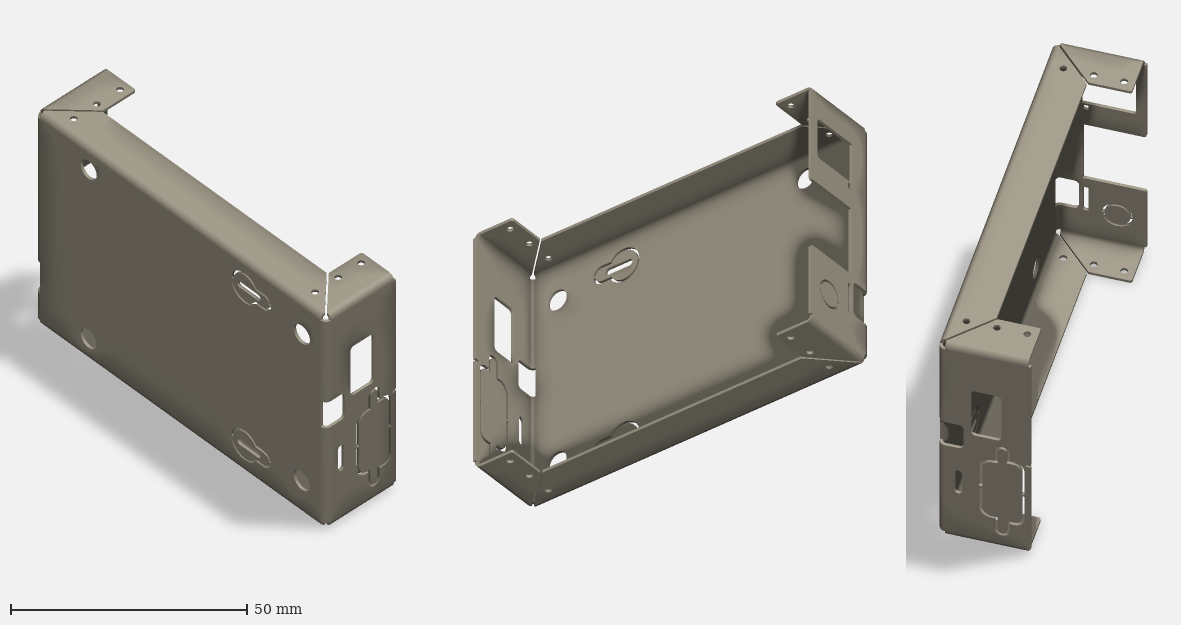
import cadquery as cq
import math

WIDTH = 89.97
DEPTH = 20.42
HEIGHT = 60.79
SHEET = 0.7
BEND_RADIUS = 1.55
HALF_WIDTH = WIDTH / 2
HALF_HEIGHT = HEIGHT / 2

FLANGE_REACH = 10.0
FLANGE_REAR = 19.86
FLANGE_CORNER_RADIUS = 0.5
MITRE_GAP = 0.44
MITRE_ANGLE = 45
RIVET_DIAMETER = 1.6
RIVET_X = 37.35
RIVET_FIRST_Y = 4.1
RIVET_PITCH = 6.7
RIVET_COUNT = 3

HOLE_DIAMETER = 5.0
LEFT_HOLES_X = -28.4
LEFT_HOLES_Z = 24.2
RIGHT_HOLES_X = 37.65
RIGHT_HOLES_Z = 20.95
KEYHOLE_X = 20.0
KEYHOLE_Z = 22.5
KEYHOLE_HEAD_RADIUS = 4.2
KEYHOLE_NECK_RADIUS = 2.24
KEYHOLE_NECK_OFFSET = 5.87
KEYHOLE_GAP = 0.56
TAB_WIDTH = 0.5
PRY_SLOT_LENGTH = 7.2
PRY_SLOT_WIDTH = 1.68
KEYHOLE_PRY_OFFSET = 1.26

WINDOW_Y = (6.15, 18.18)
WINDOW_Z = (12.73, 22.8)
WINDOW_RADIUS = 0.6
NOTCH_FLOOR_Y = 6.43
NOTCH_Z = (-11.05, 6.0)
NOTCH_LIP_RADIUS = 0.6
RELIEF_WIDTH = 1.2
RELIEF_RADIUS = 0.55
LOWER_RELIEF_Z = (-21.1, -13.85)
UPPER_RELIEF_Z = (10.77, 12.17)
ROUND_KNOCKOUT_Y = 14.02
ROUND_KNOCKOUT_Z = -20.55
ROUND_KNOCKOUT_RADIUS = 3.4
ROUND_KNOCKOUT_GAP = 0.55

BEND_OPENING_REACH = 5.6
BEND_OPENING_RADIUS = 1.1
LEFT_BEND_OPENING_Z = (-21.12, -12.45)
RIGHT_BEND_OPENING_Z = (-1.55, 5.8)

PORT_Y = (7.22, 13.99)
PORT_Z = (3.5, 17.5)
PORT_RADIUS = 1.1
EDGE_SLIT_DEPTH = 1.12
EDGE_SLIT_Z = (-2.94, -2.38)
CABLE_Z = -12.3
CABLE_PRY_Y = 4.46
CABLE_TONGUE_Y = 14.13
CABLE_OUTER = dict(
    front_y=8.95, rear_y=19.02, front_half=9.1, rear_half=9.9,
    front_radius=2.9, rear_radius=2.2, tongue=(1.65, 13.98),
)
CABLE_INNER = dict(
    front_y=9.79, rear_y=18.46, front_half=8.53, rear_half=9.15,
    front_radius=2.4, rear_radius=1.9, tongue=(0.98, 13.3),
)

ALL_HEIGHT = (-HALF_HEIGHT, HALF_HEIGHT)
LEFT_WALL = (-HALF_WIDTH, -HALF_WIDTH + BEND_RADIUS)
RIGHT_WALL = (HALF_WIDTH - BEND_RADIUS, HALF_WIDTH)


def span_box(x_span, y_span, z_span):
    """Box between two limits along each axis."""
    spans = (x_span, y_span, z_span)
    sizes = [high - low for low, high in spans]
    centre = tuple((low + high) / 2 for low, high in spans)
    return cq.Workplane("XY").box(*sizes).translate(centre)


def make_tray():
    """Folded shell, open at the rear, with the bends left out of the corners."""
    outer = cq.Workplane("XY").box(WIDTH, DEPTH, HEIGHT)
    outer = outer.edges("|Y").fillet(BEND_RADIUS).faces("<Y").edges().fillet(BEND_RADIUS)
    inner_radius = BEND_RADIUS - SHEET
    inner = cq.Workplane("XY").box(WIDTH - 2 * SHEET, DEPTH, HEIGHT - 2 * SHEET)
    inner = inner.edges("|Y").fillet(inner_radius).faces("<Y").edges().fillet(inner_radius)
    tray = outer.cut(inner.translate((0, SHEET, 0))).translate((0, DEPTH / 2, 0))
    corner_size = 2 * BEND_RADIUS
    for x_side in (-1, 1):
        for z_side in (-1, 1):
            corner = cq.Workplane("XY").box(corner_size, corner_size, corner_size)
            tray = tray.cut(corner.translate((x_side * HALF_WIDTH, 0, z_side * HALF_HEIGHT)))
    return tray


def trim_flanges(tray):
    """Leave an L-shaped flange pair at each end, split by mitred corners."""
    inner_edge = HALF_WIDTH - FLANGE_REACH
    tray = tray.cut(span_box((-inner_edge, inner_edge), (FLANGE_REACH, DEPTH), ALL_HEIGHT))

    rear_trim = 2 * (DEPTH - FLANGE_REAR)
    for z_side in (-1, 1):
        strip = cq.Workplane("XY").box(WIDTH, rear_trim, 2 * BEND_RADIUS)
        tray = tray.cut(strip.translate((0, DEPTH, z_side * HALF_HEIGHT)))

    mitre_length = (FLANGE_REACH - BEND_RADIUS) * math.sqrt(2) + MITRE_GAP
    mitre_centre = (FLANGE_REACH + BEND_RADIUS) / 2
    for x_side in (-1, 1):
        mitre = cq.Workplane("XY").box(mitre_length, MITRE_GAP, HEIGHT)
        mitre = mitre.rotate((0, 0, 0), (0, 0, 1), -MITRE_ANGLE * x_side)
        tray = tray.cut(mitre.translate((x_side * (HALF_WIDTH - mitre_centre), mitre_centre, 0)))

        corner_x = x_side * inner_edge
        corners = cq.selectors.BoxSelector(
            (corner_x - SHEET, FLANGE_REAR - SHEET, -HEIGHT),
            (corner_x + SHEET, FLANGE_REAR + SHEET, HEIGHT),
        )
        tray = tray.edges("|Z").edges(corners).fillet(FLANGE_CORNER_RADIUS)
    return tray


def drill_rivet_holes(tray):
    """Row of holes near each end, through the top and bottom flanges."""
    points = [
        (x_side * RIVET_X, RIVET_FIRST_Y + index * RIVET_PITCH)
        for x_side in (-1, 1)
        for index in range(RIVET_COUNT)
    ]
    holes = cq.Workplane("XY").pushPoints(points).circle(RIVET_DIAMETER / 2)
    return tray.cut(holes.extrude(HALF_HEIGHT, both=True))


def keyhole(x, z, inset):
    """Keyhole prism through the front plate, its outline moved in by the inset."""
    neck_radius = KEYHOLE_NECK_RADIUS - inset
    tip_x = x + KEYHOLE_NECK_OFFSET
    head = cq.Workplane("XZ").center(x, z).circle(KEYHOLE_HEAD_RADIUS - inset).extrude(-SHEET)
    tip = cq.Workplane("XZ").center(tip_x, z).circle(neck_radius).extrude(-SHEET)
    neck = span_box((x, tip_x), (0, SHEET), (z - neck_radius, z + neck_radius))
    return head.union(neck).union(tip)


def cut_front_plate(tray):
    """Round holes and the two keyhole knockouts with their pry slots."""
    hole_points = [
        (x, z_side * z)
        for x, z in ((LEFT_HOLES_X, LEFT_HOLES_Z), (RIGHT_HOLES_X, RIGHT_HOLES_Z))
        for z_side in (-1, 1)
    ]
    tray = tray.cut(
        cq.Workplane("XZ").pushPoints(hole_points).circle(HOLE_DIAMETER / 2).extrude(-SHEET)
    )
    for z in (-KEYHOLE_Z, KEYHOLE_Z):
        gap = keyhole(KEYHOLE_X, z, 0).cut(keyhole(KEYHOLE_X, z, KEYHOLE_GAP))
        tabs = span_box((0, HALF_WIDTH), (0, SHEET), (z - TAB_WIDTH / 2, z + TAB_WIDTH / 2))
        slot = (
            cq.Workplane("XZ")
            .center(KEYHOLE_X + KEYHOLE_PRY_OFFSET, z)
            .slot2D(PRY_SLOT_LENGTH, PRY_SLOT_WIDTH)
            .extrude(-SHEET)
        )
        tray = tray.cut(gap.cut(tabs)).cut(slot)
    return tray


def cut_left_wall(tray):
    """Window, rear notch, relief slots and round knockout of the -X wall."""
    tray = tray.cut(span_box(LEFT_WALL, WINDOW_Y, WINDOW_Z).edges("|X and >Y").fillet(WINDOW_RADIUS))

    tray = tray.cut(span_box(LEFT_WALL, (NOTCH_FLOOR_Y, DEPTH), NOTCH_Z))
    lips = cq.selectors.BoxSelector(
        (LEFT_WALL[0] - SHEET, DEPTH - SHEET, NOTCH_Z[0] - SHEET),
        (LEFT_WALL[1], DEPTH + SHEET, NOTCH_Z[1] + SHEET),
    )
    tray = tray.edges("|X").edges(lips).fillet(NOTCH_LIP_RADIUS)

    relief_y = (NOTCH_FLOOR_Y, NOTCH_FLOOR_Y + RELIEF_WIDTH)
    for relief_z in (LOWER_RELIEF_Z, UPPER_RELIEF_Z):
        relief = span_box(LEFT_WALL, relief_y, relief_z)
        tray = tray.cut(relief.edges("|X and <Y").fillet(RELIEF_RADIUS))

    ring = (
        cq.Workplane("YZ", origin=(-HALF_WIDTH, ROUND_KNOCKOUT_Y, ROUND_KNOCKOUT_Z))
        .circle(ROUND_KNOCKOUT_RADIUS)
        .circle(ROUND_KNOCKOUT_RADIUS - ROUND_KNOCKOUT_GAP)
        .extrude(SHEET)
    )
    tab_z = (ROUND_KNOCKOUT_Z - TAB_WIDTH / 2, ROUND_KNOCKOUT_Z + TAB_WIDTH / 2)
    return tray.cut(ring.cut(span_box(LEFT_WALL, (0, DEPTH), tab_z)))


def cut_bend_openings(tray):
    """One opening through each vertical bend, running into the side wall."""
    for wall, z_span in ((LEFT_WALL, LEFT_BEND_OPENING_Z), (RIGHT_WALL, RIGHT_BEND_OPENING_Z)):
        opening = span_box(wall, (0, BEND_OPENING_REACH), z_span)
        tray = tray.cut(opening.edges("|X and >Y").fillet(BEND_OPENING_RADIUS))
    return tray


def cable_outline(front_y, rear_y, front_half, rear_half, front_radius, rear_radius, tongue):
    """Prism of the cable knockout: a rounded body with a round-ended tongue above and below.

    front_half and rear_half are the half heights of the body on either side of the
    tongue; tongue gives the tongue's half width and half height.
    """
    tongue_half_width, tongue_half_height = tongue
    tongue_front = CABLE_TONGUE_Y - tongue_half_width
    tongue_rear = CABLE_TONGUE_Y + tongue_half_width
    arc = 1 - math.sqrt(0.5)
    upper_half = (
        cq.Workplane("YZ", origin=(HALF_WIDTH - SHEET, 0, CABLE_Z))
        .moveTo(front_y, 0)
        .lineTo(front_y, front_half - front_radius)
        .threePointArc(
            (front_y + arc * front_radius, front_half - arc * front_radius),
            (front_y + front_radius, front_half),
        )
        .lineTo(tongue_front, front_half)
        .lineTo(tongue_front, tongue_half_height - tongue_half_width)
        .threePointArc(
            (CABLE_TONGUE_Y, tongue_half_height),
            (tongue_rear, tongue_half_height - tongue_half_width),
        )
        .lineTo(tongue_rear, rear_half)
        .lineTo(rear_y - rear_radius, rear_half)
        .threePointArc(
            (rear_y - arc * rear_radius, rear_half - arc * rear_radius),
            (rear_y, rear_half - rear_radius),
        )
        .lineTo(rear_y, 0)
        .close()
        .extrude(SHEET)
    )
    return upper_half.union(upper_half.mirror("XY", (0, 0, CABLE_Z)))


def cut_right_wall(tray):
    """Port, rear-edge slit, pry slot and cable knockout of the +X wall."""
    tray = tray.cut(span_box(RIGHT_WALL, PORT_Y, PORT_Z).edges("|X").fillet(PORT_RADIUS))
    tray = tray.cut(span_box(RIGHT_WALL, (DEPTH - EDGE_SLIT_DEPTH, DEPTH), EDGE_SLIT_Z))

    slot = (
        cq.Workplane("YZ", origin=(HALF_WIDTH - SHEET, CABLE_PRY_Y, CABLE_Z))
        .slot2D(PRY_SLOT_LENGTH, PRY_SLOT_WIDTH, 90)
        .extrude(SHEET)
    )
    tray = tray.cut(slot)

    gap = cable_outline(**CABLE_OUTER).cut(cable_outline(**CABLE_INNER))
    tab_z = (CABLE_Z - TAB_WIDTH / 2, CABLE_Z + TAB_WIDTH / 2)
    return tray.cut(gap.cut(span_box(RIGHT_WALL, (0, DEPTH), tab_z)))


result = make_tray()
result = trim_flanges(result)
result = drill_rivet_holes(result)
result = cut_front_plate(result)
result = cut_left_wall(result)
result = cut_bend_openings(result)
result = cut_right_wall(result)